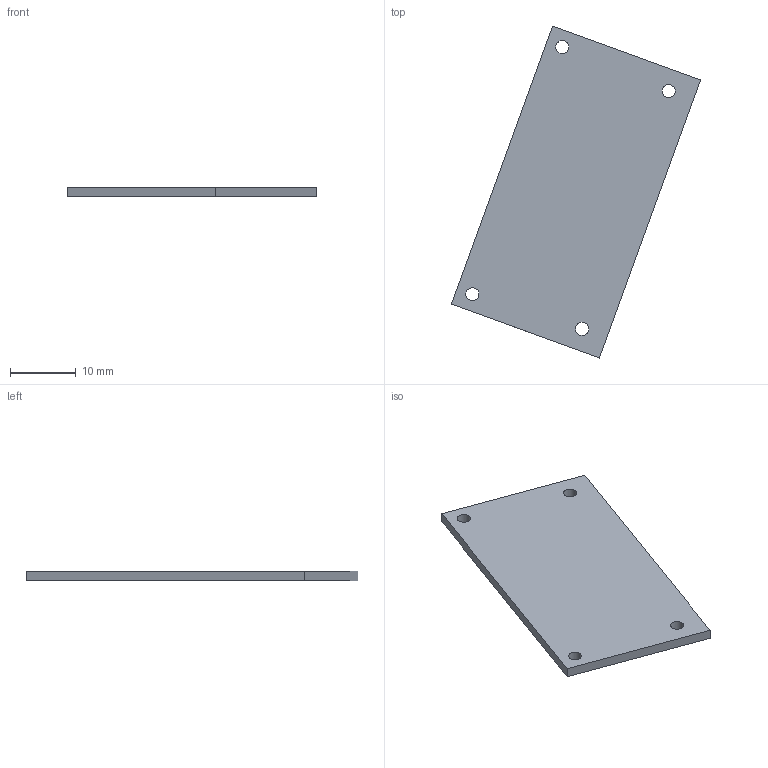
import cadquery as cq

plate_width = 24.0
plate_length = 45.0
plate_thickness = 1.5
plate_turn = -20.0

hole_diameter = 2.0
left_side_inset = 2.5
left_end_inset = 2.5
right_side_inset = 4.0
right_end_inset = 3.25

left_hole_x = -plate_width / 2 + left_side_inset
left_hole_y = plate_length / 2 - left_end_inset
right_hole_x = plate_width / 2 - right_side_inset
right_hole_y = plate_length / 2 - right_end_inset


def make_plate():
    """Plate centred on the origin, before it is turned."""
    return cq.Workplane("XY").box(plate_width, plate_length, plate_thickness)


def drill_mounting_holes(plate):
    """Drill the four corner holes through the plate."""
    hole_centres = []
    for end in (-1, 1):
        hole_centres.append((left_hole_x, end * left_hole_y))
        hole_centres.append((right_hole_x, end * right_hole_y))
    return plate.faces(">Z").workplane().pushPoints(hole_centres).hole(hole_diameter)


drilled_plate = drill_mounting_holes(make_plate())
result = drilled_plate.rotate((0, 0, 0), (0, 0, 1), plate_turn)